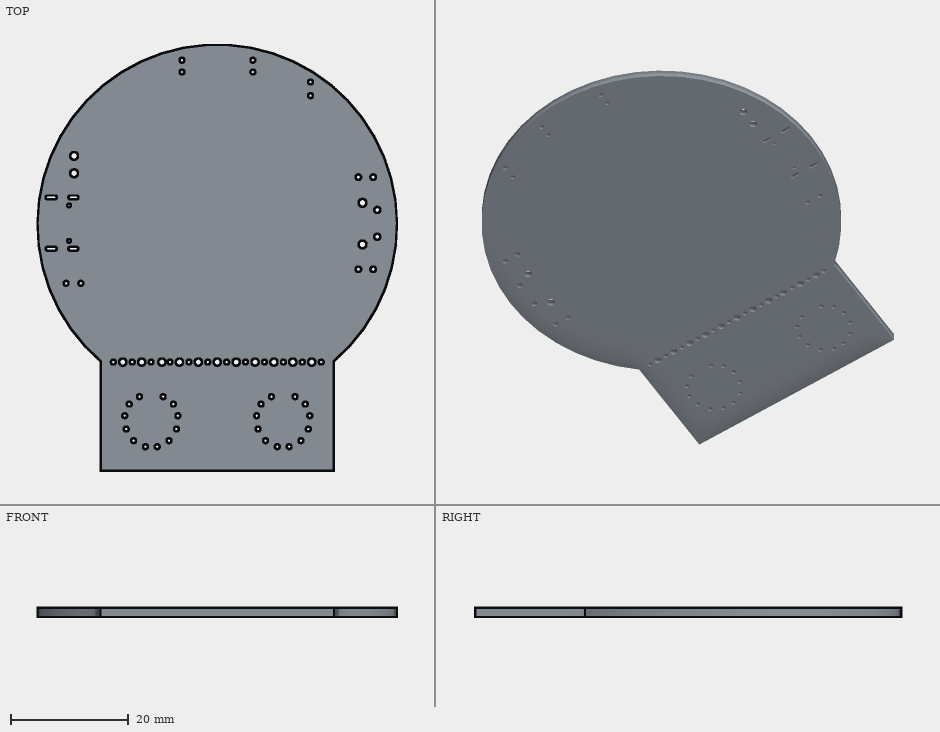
import cadquery as cq
import math

thickness = 1.6
disc_radius = 60.93 / 2
foot_width = 39.5
overall_length = 72.21
foot_end_y = disc_radius - overall_length

row_y = -23.32
row_pitch = 3.2
row_large_count = 11
row_small_count = row_large_count + 1
row_large_diameter = 1.2
row_small_diameter = 0.8
shifted_hole_index = 2
shifted_hole_offset = 0.23

socket_offset_x = 11.17
socket_y = -33.2
pin_diameter = 0.8
half_ring_pins = [
    (2.0, 4.02),
    (3.74, 2.76),
    (4.5, 0.79),
    (4.25, -1.46),
    (3.0, -3.43),
    (1.0, -4.45),
]

slot_centre_y = 0.22
slot_spacing_y = 8.7
slot_width = 0.6
outer_slot_x = -28.13
outer_slot_length = 1.9
inner_slot_x = -24.35
inner_slot_length = 1.7

disc_holes = [
    (0.6, [(-25.1, 3.2), (-25.1, -2.8)]),
    (0.8, [(-25.6, -9.98), (-23.1, -9.98)]),
    (0.8, [(-5.97, 27.8), (-5.97, 25.8), (6.03, 27.8), (6.03, 25.8)]),
    (0.8, [(15.8, 24.1), (15.8, 21.8)]),
    (0.9, [(23.9, 8.0), (26.4, 8.0), (23.9, -7.6), (26.4, -7.6)]),
    (1.0, [(27.1, 2.45), (27.1, -2.1)]),
    (1.3, [(24.6, 3.65), (24.6, -3.4)]),
    (1.3, [(-24.25, 11.6), (-24.25, 8.65)]),
]


def make_plate():
    half_width = foot_width / 2
    corner_y = -math.sqrt(disc_radius**2 - half_width**2)
    return (
        cq.Workplane("XY")
        .moveTo(-half_width, foot_end_y)
        .lineTo(half_width, foot_end_y)
        .lineTo(half_width, corner_y)
        .threePointArc((0, disc_radius), (-half_width, corner_y))
        .close()
        .extrude(thickness)
    )


def drill(plate, diameter, centres):
    holes = cq.Workplane("XY").pushPoints(centres).circle(diameter / 2).extrude(thickness)
    return plate.cut(holes)


def cut_slots(plate, x, length):
    centres = [(x, slot_centre_y + side * slot_spacing_y / 2) for side in (-1, 1)]
    slots = cq.Workplane("XY").pushPoints(centres).slot2D(length, slot_width).extrude(thickness)
    return plate.cut(slots)


def row_centres(count):
    return [((i - (count - 1) / 2) * row_pitch, row_y) for i in range(count)]


def socket_centres(socket_x):
    return [
        (socket_x + side * pin_x, socket_y + pin_y)
        for side in (-1, 1)
        for pin_x, pin_y in half_ring_pins
    ]


def large_row_centres():
    centres = row_centres(row_large_count)
    even_x, even_y = centres[shifted_hole_index]
    centres[shifted_hole_index] = (even_x + shifted_hole_offset, even_y)
    return centres


result = make_plate()
result = drill(result, row_large_diameter, large_row_centres())
result = drill(result, row_small_diameter, row_centres(row_small_count))
for socket_x in (-socket_offset_x, socket_offset_x):
    result = drill(result, pin_diameter, socket_centres(socket_x))
result = cut_slots(result, outer_slot_x, outer_slot_length)
result = cut_slots(result, inner_slot_x, inner_slot_length)
for hole_diameter, hole_centres in disc_holes:
    result = drill(result, hole_diameter, hole_centres)